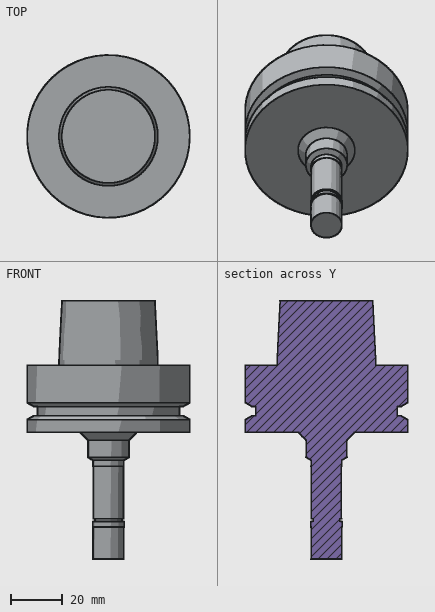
import cadquery as cq

total_height = 100.0
taper_length = 25.0
flange_height = 26.0
flange_top = total_height - taper_length
flange_bottom = flange_top - flange_height

taper_diameter = 38.3
taper_band_height = 2.0
taper_ratio = 0.1
taper_end_diameter = taper_diameter - taper_ratio * (taper_length - taper_band_height)

flange_diameter = 63.0
groove_diameter = 55.0
lower_rim_height = 5.0
groove_width = 3.5
groove_chamfer_height = 1.5
groove_chamfer_depth = 2.6
groove_bottom = flange_bottom + lower_rim_height + groove_chamfer_height
groove_top = groove_bottom + groove_width

neck_diameter = 16.0
neck_cone_height = 3.0
neck_cone_bottom = flange_bottom - neck_cone_height
neck_bottom = 38.2
neck_chamfer_height = 1.2

shank_diameter = 12.0
shank_body_diameter = 11.8
shank_body_top = 36.0
relief_diameter = 10.5
relief_top = 15.6
relief_height = 0.9
collar_diameter = 12.3
collar_bottom = 12.3
collar_chamfer = 0.3
collar_top = relief_top - relief_height


def stack(*sections):
    """Revolve a closed profile of (diameter, height) corners about Z."""
    points = [(diameter / 2, height) for diameter, height in sections]
    axis_bottom = (0, points[0][1])
    axis_top = (0, points[-1][1])
    profile = cq.Workplane("XZ").polyline([axis_bottom, *points, axis_top]).close()
    return profile.revolve(360, (0, 0, 0), (0, 1, 0))


shank = stack(
    (shank_diameter, 0),
    (shank_diameter, collar_bottom),
    (collar_diameter, collar_bottom + collar_chamfer),
    (collar_diameter, collar_top - collar_chamfer),
    (collar_diameter - 2 * collar_chamfer, collar_top),
    (relief_diameter, collar_top),
    (relief_diameter, relief_top),
    (shank_body_diameter, relief_top),
    (shank_body_diameter, shank_body_top),
    (shank_diameter, shank_body_top),
    (shank_diameter, neck_bottom),
)

neck = stack(
    (shank_diameter, neck_bottom),
    (neck_diameter, neck_bottom + neck_chamfer_height),
    (neck_diameter, neck_cone_bottom),
    (neck_diameter + 2 * neck_cone_height, flange_bottom),
)

groove_lip_diameter = flange_diameter - 2 * groove_chamfer_depth
flange = stack(
    (flange_diameter, flange_bottom),
    (flange_diameter, groove_bottom - groove_chamfer_height),
    (groove_lip_diameter, groove_bottom),
    (groove_diameter, groove_bottom),
    (groove_diameter, groove_top),
    (groove_lip_diameter, groove_top),
    (flange_diameter, groove_top + groove_chamfer_height),
    (flange_diameter, flange_top),
)

taper = stack(
    (taper_diameter, flange_top),
    (taper_diameter, flange_top + taper_band_height),
    (taper_end_diameter, total_height),
)

result = shank.union(neck).union(flange).union(taper)